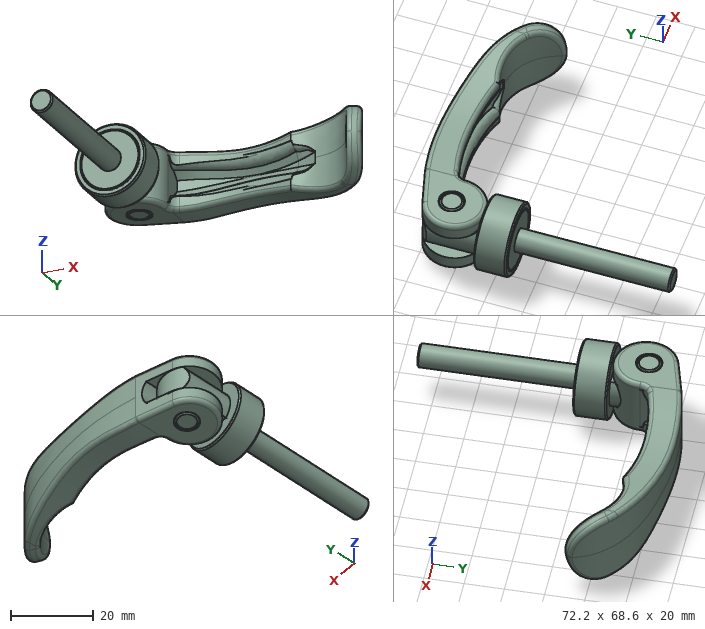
import cadquery as cq
import math


cam_radius = 8.0
cam_offset = 0.8
cam_half_thickness = 8.0
back_tangent_angle = 106.5
root_radius = 2.5
root_slope_angle = 14.0
slot_half_width = 3.7
slot_end_radius = 6.2

back_start = (8.0, 9.7)
back_crest = (24.0, 11.42)
back_points = [back_crest, (40.2, 9.55), (53.0, 5.0), (60.4, -1.6), (63.05, -11.0)]
underside_crest = (25.0, 3.65)
cusp = (40.0, 1.4)
spoon_points = [(45.6, 2.4), (52.5, 0.6), (57.6, -4.5), (59.7, -11.5)]

waist_points = [(17.5, 7.3), (27.0, 6.65), (40.0, 7.9), (50.0, 9.65)]
spoon_half_width = 9.995
spoon_widest_x = 55.0
tip_tilt = 28.0
tip_reach = 36.3
lever_edge_radius = 1.2

valley_joint = (40.5, 0.8, 2.9, 5.1, 4.6, 1.4)
valley_arm = [
    (8.0, 1.5, 3.4, 6.2, 4.6, 0.0),
    (17.5, 0.8, 2.7, 5.4, 6.0, 3.1),
    (27.0, 0.1, 1.75, 4.6, 6.6, 3.6),
    (34.0, 0.2, 1.9, 4.7, 6.0, 2.9),
    valley_joint,
]
valley_runout = [
    valley_joint,
    (42.5, 1.05, 2.65, 4.65, 4.0, 2.0),
    (44.3, 1.35, 2.3, 3.6, 3.4, 2.3),
    (45.4, 1.5, 1.75, 2.6, 3.0, 2.35),
    (46.1, 1.55, 1.6, 1.75, 2.7, 2.3),
]
rim_rise = 0.9
rim_depth_share = 2 / 3
valley_open_y = -8.0

collar_radius = 9.5
collar_height = 8.35
ring_chamfer = 0.4
collar_top = -cam_offset - cam_radius
collar_bottom = collar_top - collar_height

stud_radius = 3.0
stud_length = 40.0
flange_radius = 8.0
flange_thickness = 5.0
eye_radius = 6.0
eye_top = 7.04
eye_end_radius = 8.3
foot_half_thickness = 4.05
foot_top = -7.0
pin_radius = 3.0
pin_chamfer = 0.5
pin_hole_chamfer = 0.25


def polar(radius, degrees, center):
    angle = math.radians(degrees)
    return (center[0] + radius * math.cos(angle), center[1] + radius * math.sin(angle))


def slab(half_thickness):
    """Wide plate centred on the plane Z = 0."""
    wide = 20 * cam_radius
    return cq.Workplane("XY").box(wide, wide, 2 * half_thickness)


def y_cylinder(radius, top, length):
    """Cylinder about the stud axis, from its top downwards."""
    return cq.Workplane("XZ", origin=(0, top, 0)).circle(radius).extrude(length)


def lever_profile():
    cam_center = (0, -cam_offset)
    cam_right = (cam_radius, -cam_offset)
    cam_middle = polar(cam_radius, (back_tangent_angle + 360) / 2, cam_center)
    cam_back = polar(cam_radius, back_tangent_angle, cam_center)
    root_center = (cam_radius + root_radius, -cam_offset)
    root_end_angle = 90 + root_slope_angle
    root_end = polar(root_radius, root_end_angle, root_center)
    root_middle = polar(root_radius, (180 + root_end_angle) / 2, root_center)
    return (
        cq.Workplane("XY")
        .moveTo(*cam_right)
        .threePointArc(cam_middle, cam_back)
        .lineTo(*back_start)
        .spline(back_points, includeCurrent=True)
        .lineTo(*spoon_points[-1])
        .spline(spoon_points[-2::-1] + [cusp], includeCurrent=True)
        .threePointArc(underside_crest, root_end)
        .threePointArc(root_middle, cam_right)
        .close()
        .extrude(2 * spoon_half_width, both=True)
    )


def lever_plan():
    """Outline of the lever in X and Z, extruded along Y."""
    waist = [(back_start[0], cam_half_thickness)] + waist_points + [(spoon_widest_x, spoon_half_width)]
    other_waist = [(x, -z) for x, z in reversed(waist)]
    start_x = -2 * cam_radius
    end_x = spoon_widest_x + 2 * spoon_half_width
    reach = 4 * cam_radius
    return (
        cq.Workplane("XZ", origin=(0, reach, 0))
        .moveTo(start_x, cam_half_thickness)
        .lineTo(*waist[0])
        .spline(waist[1:], tangents=[(1, 0), (1, 0)], includeCurrent=True)
        .lineTo(end_x, spoon_half_width)
        .lineTo(end_x, -spoon_half_width)
        .lineTo(*other_waist[0])
        .spline(other_waist[1:], tangents=[(-1, 0), (-1, 0)], includeCurrent=True)
        .lineTo(start_x, -cam_half_thickness)
        .close()
        .extrude(2 * reach)
    )


def tip_cutter():
    """Everything beyond the half-round end of the spoon."""
    tilt = math.radians(tip_tilt)
    through = cq.Vector(math.cos(tilt), math.sin(tilt), 0)
    along = cq.Vector(math.sin(tilt), -math.cos(tilt), 0)
    center = along * (tip_reach - spoon_half_width)
    plane = cq.Plane(origin=center.toTuple(), xDir=along.toTuple(), normal=through.toTuple())
    width = 4 * spoon_half_width
    depth = 2 * spoon_widest_x
    beyond = cq.Workplane(plane).center(width / 2, 0).rect(width, width).extrude(depth)
    round_end = cq.Workplane(plane).circle(spoon_half_width).extrude(depth)
    return beyond.cut(round_end)


def is_outline_edge(edge):
    """True for edges round the lever's outline, False for straight lines across its faces."""
    on_cam_side = edge.Center().x < cam_radius / 2 and abs(edge.Center().z) > cam_half_thickness / 2
    return on_cam_side or edge.geomType() != "LINE"


def lever_blank():
    blank = lever_profile().intersect(lever_plan()).cut(tip_cutter()).solids().val()
    outline_edges = [edge for edge in blank.Edges() if is_outline_edge(edge)]
    return cq.Workplane(blank.fillet(lever_edge_radius, outline_edges))


def valley_section(x, floor, wall, rim, floor_y, rim_y):
    rim_height = min(rim_rise * (rim - wall), rim_depth_share * (floor_y - rim_y))
    wall_y = rim_y + rim_height
    diagonal = math.sin(math.pi / 4)
    bulge_y = wall_y - rim_height * diagonal
    bulge_z = rim - (rim - wall) * diagonal
    return (
        cq.Workplane("YZ", origin=(x, 0, 0))
        .moveTo(valley_open_y, rim)
        .lineTo(rim_y, rim)
        .threePointArc((bulge_y, bulge_z), (wall_y, wall))
        .lineTo(floor_y, floor)
        .lineTo(floor_y, -floor)
        .lineTo(wall_y, -wall)
        .threePointArc((bulge_y, -bulge_z), (rim_y, -rim))
        .lineTo(valley_open_y, -rim)
        .close()
        .wires()
        .val()
    )


def valley(stations):
    sections = [valley_section(*station) for station in stations]
    return cq.Workplane(cq.Solid.makeLoft(sections))


def lever_slot():
    """Slot for the eye, open towards -X."""
    length = 6 * cam_radius
    block = cq.Workplane("XY").box(length, length, 2 * slot_half_width).translate((-length / 2, 0, 0))
    end = y_cylinder(slot_end_radius, length / 2, length).intersect(slab(slot_half_width))
    return block.union(end)


def pin_hole():
    hole = cq.Workplane("XY").circle(pin_radius).extrude(cam_half_thickness, both=True)
    for side in (1, -1):
        mouth = (
            cq.Workplane("XY", origin=(0, 0, side * cam_half_thickness))
            .circle(pin_radius + pin_hole_chamfer)
            .extrude(-side * pin_hole_chamfer, taper=45)
        )
        hole = hole.union(mouth)
    return hole


def make_lever():
    return (
        lever_blank()
        .cut(valley(valley_arm))
        .cut(valley(valley_runout))
        .cut(lever_slot())
        .cut(pin_hole())
    )


def stud_eye():
    """Flattened round bar with a rounded end, from the flange up around the pivot."""
    axis_y = eye_top - eye_end_radius
    flange_top = collar_bottom + flange_thickness
    bar = y_cylinder(eye_radius, eye_top, eye_top - flange_top)
    round_end = cq.Workplane("XY").center(0, axis_y).circle(eye_end_radius).extrude(eye_radius, both=True)
    straight = y_cylinder(eye_radius, axis_y, axis_y - flange_top)
    return bar.intersect(slab(slot_half_width)).intersect(round_end.union(straight))


def stud_foot():
    """Thicker foot of the eye, hollowed beside the eye to follow the cam."""
    flange_top = collar_bottom + flange_thickness
    foot = y_cylinder(eye_radius, foot_top, foot_top - flange_top).intersect(slab(foot_half_thickness))
    cam = cq.Workplane("XY").center(0, -cam_offset).circle(cam_radius).extrude(cam_half_thickness, both=True)
    return foot.cut(cam)


def stud_rod():
    flange = y_cylinder(flange_radius, collar_bottom + flange_thickness, flange_thickness)
    rod = y_cylinder(stud_radius, collar_bottom, stud_length)
    return flange.faces("<Y").chamfer(ring_chamfer).union(rod.faces("<Y").chamfer(ring_chamfer))


def pivot_pin():
    pin = cq.Workplane("XY", origin=(0, 0, -cam_half_thickness)).circle(pin_radius)
    return pin.extrude(2 * cam_half_thickness).faces("<Z or >Z").chamfer(pin_chamfer)


def make_stud():
    return stud_rod().union(stud_eye()).union(stud_foot()).union(pivot_pin())


def make_collar():
    """Ring with a bore for the flange and a flat-sided opening for the foot."""
    ring = y_cylinder(collar_radius, collar_top, collar_height).faces("<Y or >Y").chamfer(ring_chamfer)
    flange_bore = y_cylinder(flange_radius, collar_bottom + flange_thickness, flange_thickness)
    opening = y_cylinder(eye_radius, collar_top, collar_height).intersect(slab(foot_half_thickness))
    return ring.cut(flange_bore).cut(opening)


lever = make_lever()
stud = make_stud()
collar = make_collar()
bodies = [body.solids().val() for body in (lever, stud, collar)]
result = cq.Compound.makeCompound(bodies)